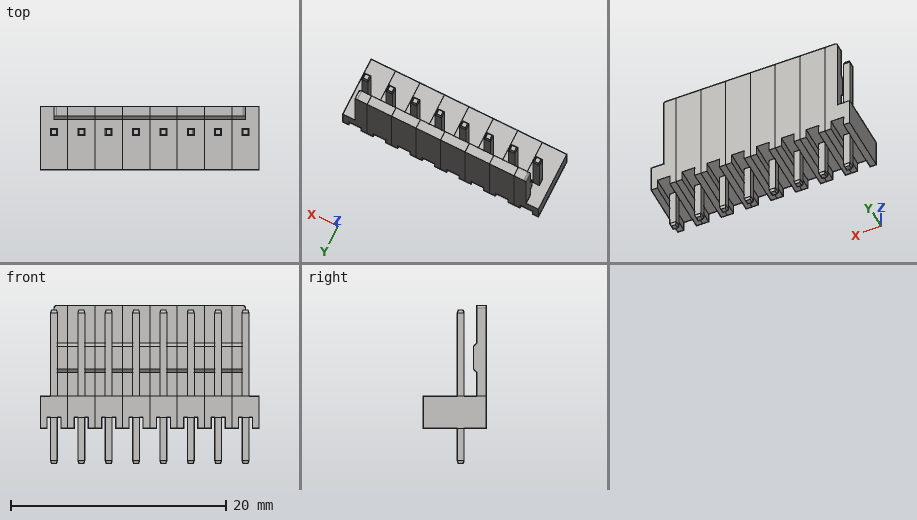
import cadquery as cq


total_length = 20.32
cell_count = 8
pitch = total_length / cell_count

base_depth = 5.9
base_bottom = 3.27
base_top = 6.28
notch_width = 1.28
notch_height = 1.04

wall_thickness = 0.91
wall_top = 14.7
wall_end_inset = pitch / 2
wall_corner_radius = 0.25
ridge_bottom = 8.47
ridge_top = 11.2
ridge_depth = 0.3

pin_width = 0.65
pin_top = 14.28
pin_back_distance = 2.4
tip_height = 0.28
tip_inset = 0.1


def make_base(left):
    """Base block of one cell, with a notch through its underside from front to back."""
    block = cq.Workplane("XY").box(pitch, base_depth, base_top - base_bottom, centered=False)
    notch = cq.Workplane("XY").box(notch_width, base_depth, notch_height, centered=False)
    notch = notch.translate(((pitch - notch_width) / 2, 0, 0))
    return block.cut(notch).translate((left, -base_depth, base_bottom))


def make_wall():
    """Wall of the whole row: its ridged cross-section drawn along X, upper end corners rounded."""
    ridge_front = -wall_thickness - ridge_depth
    profile = [
        (0, base_top),
        (-wall_thickness, base_top),
        (-wall_thickness, ridge_bottom),
        (ridge_front, ridge_bottom + ridge_depth),
        (ridge_front, ridge_top - ridge_depth),
        (-wall_thickness, ridge_top),
        (-wall_thickness, wall_top),
        (0, wall_top),
    ]
    wall = (
        cq.Workplane("YZ", origin=(wall_end_inset, 0, 0))
        .polyline(profile)
        .close()
        .extrude(total_length - 2 * wall_end_inset)
    )
    upper_corners = wall.faces(">Z").edges("|Y")
    return upper_corners.fillet(wall_corner_radius)


def make_wall_piece(wall, left):
    """The stretch of the wall that belongs to the cell starting at left."""
    cell_space = cq.Workplane("XY").box(pitch, base_depth, wall_top, centered=False)
    return wall.intersect(cell_space.translate((left, -base_depth, 0)))


def make_tip(root_height, direction):
    """Tapered pin end that starts at root_height and points up (1) or down (-1)."""
    tip_width = pin_width - 2 * tip_inset
    return (
        cq.Workplane("XY", origin=(0, 0, root_height))
        .rect(pin_width, pin_width)
        .workplane(offset=direction * tip_height)
        .rect(tip_width, tip_width)
        .loft(ruled=True)
    )


def make_pin(center):
    """Square pin with both ends tapered."""
    shank_bottom = tip_height
    shank_top = pin_top - tip_height
    shank = (
        cq.Workplane("XY", origin=(0, 0, shank_bottom))
        .rect(pin_width, pin_width)
        .extrude(shank_top - shank_bottom)
    )
    pin = shank.union(make_tip(shank_top, 1)).union(make_tip(shank_bottom, -1))
    return pin.translate((center, -pin_back_distance, 0))


def make_cell(index, wall):
    """One header cell: base block, wall piece and pin joined into a single solid."""
    left = index * pitch
    base = make_base(left)
    wall_piece = make_wall_piece(wall, left)
    pin = make_pin(left + pitch / 2)
    return base.union(wall_piece).union(pin)


full_wall = make_wall()
cells = [make_cell(index, full_wall) for index in range(cell_count)]

result = cq.Compound.makeCompound([cell.solids().val() for cell in cells])